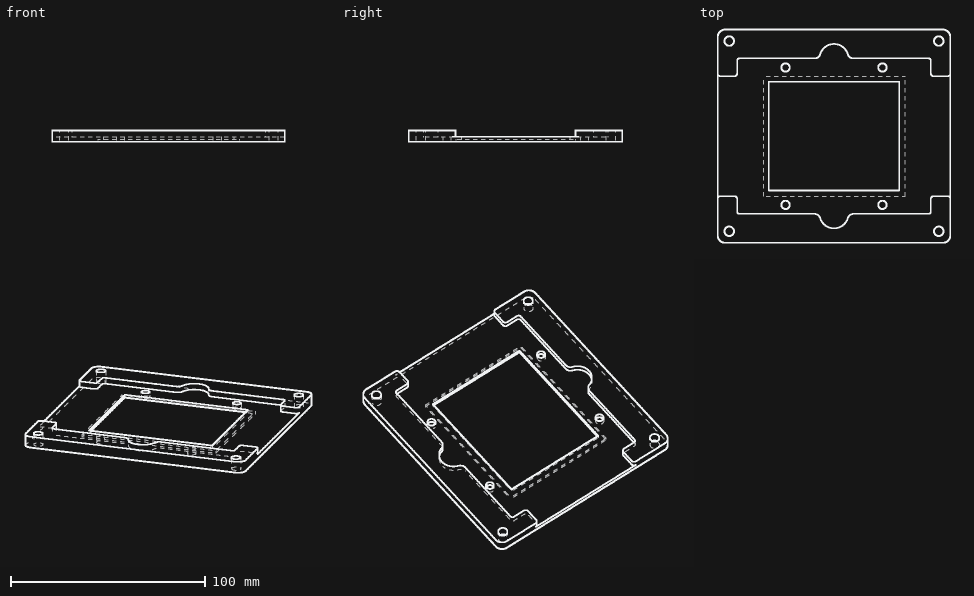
import cadquery as cq
import math

length = 120.0
width = 110.0
thickness = 6.0
floor_height = 2.8
corner_radius = 4.0

channel_half_width = 30.8
window_length = 67.2
window_width = 55.9

lip_thickness = 1.5
lip_overhang = channel_half_width - window_width / 2

recess_half_length = 49.9
recess_outer_y = 40.1
recess_corner_radius = 1.2
rail_end_radius = 1.5
relief_radius = 7.5
relief_blend_radius = 3.0

corner_hole_diameter = 4.8
corner_hole_inset = 6.0
recess_hole_diameter = 4.2
recess_hole_x = 25.0
recess_hole_y = 35.4

cut_depth = thickness - floor_height


def make_plate():
    plate = cq.Workplane("XY").box(length, width, thickness, centered=(True, True, False))
    return plate.edges("|Z").fillet(corner_radius)


def make_recess():
    """Solid removed from the +Y rail: a shallow bay with a blended round relief."""
    blend_x = math.sqrt((relief_radius + relief_blend_radius) ** 2 - relief_blend_radius**2)
    blend_angle = math.atan2(relief_blend_radius, blend_x)
    tangent_x = relief_radius * math.cos(blend_angle)
    tangent_y = recess_outer_y + relief_radius * math.sin(blend_angle)
    middle_angle = (math.pi / 2 + blend_angle) / 2
    middle_x = blend_x - relief_blend_radius * math.cos(middle_angle)
    middle_y = recess_outer_y + relief_blend_radius * (1 - math.sin(middle_angle))
    bay = (
        cq.Workplane("XY", origin=(0, 0, floor_height))
        .moveTo(-recess_half_length, 0)
        .lineTo(-recess_half_length, recess_outer_y)
        .lineTo(-blend_x, recess_outer_y)
        .threePointArc((-middle_x, middle_y), (-tangent_x, tangent_y))
        .threePointArc((0, recess_outer_y + relief_radius), (tangent_x, tangent_y))
        .threePointArc((middle_x, middle_y), (blend_x, recess_outer_y))
        .lineTo(recess_half_length, recess_outer_y)
        .lineTo(recess_half_length, 0)
        .close()
        .extrude(cut_depth)
    )
    outer_end_corners = bay.faces("<X or >X").edges("|Z").edges(">Y")
    return outer_end_corners.fillet(recess_corner_radius)


def round_rail_ends(body):
    """Round the upright corners where the rails meet the channel."""
    search_half_width = (channel_half_width + recess_outer_y) / 2
    inner_corners = cq.selectors.BoxSelector(
        (-length, -search_half_width, floor_height),
        (length, search_half_width, thickness),
    )
    return body.edges("|Z").edges(inner_corners).fillet(rail_end_radius)


def drill(body, x, y, diameter):
    """Drill four through holes, mirrored about both centre lines."""
    points = [(sx * x, sy * y) for sx in (-1, 1) for sy in (-1, 1)]
    return body.cut(cq.Workplane("XY").pushPoints(points).circle(diameter / 2).extrude(thickness))


channel = cq.Workplane("XY", origin=(0, 0, floor_height)).box(
    length, 2 * channel_half_width, cut_depth, centered=(True, True, False)
)
recess = make_recess()
body = make_plate().cut(channel).cut(recess).cut(recess.mirror("XZ"))
body = round_rail_ends(body)

window = cq.Workplane("XY").rect(window_length, window_width).extrude(thickness)
underside_pocket = (
    cq.Workplane("XY")
    .rect(window_length + 2 * lip_overhang, window_width + 2 * lip_overhang)
    .extrude(floor_height - lip_thickness)
)
body = body.cut(window).cut(underside_pocket)

body = drill(body, length / 2 - corner_hole_inset, width / 2 - corner_hole_inset, corner_hole_diameter)
result = drill(body, recess_hole_x, recess_hole_y, recess_hole_diameter)